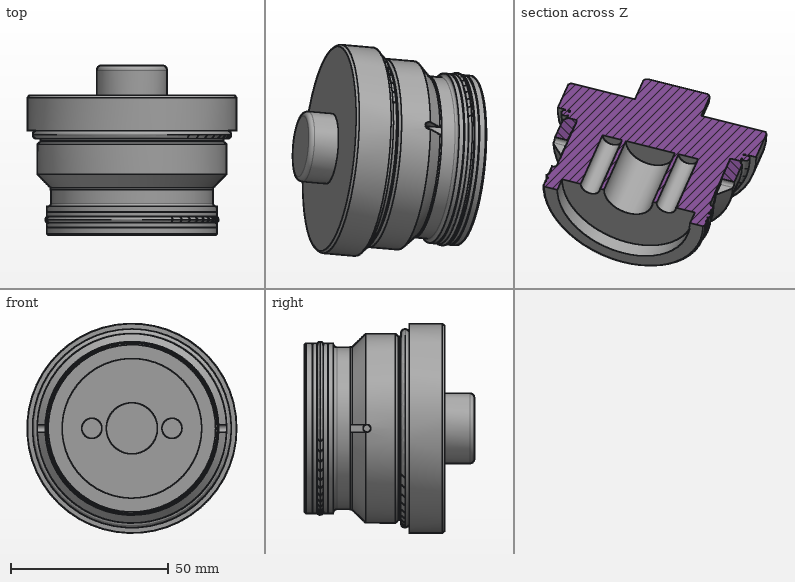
import cadquery as cq
import math


total_length = 54.0
flange_front_y = 33.2
flange_back_y = 44.5
shoulder_y = 30.0
nose_length = 9.2

flange_radius = 33.3
hub_radius = 11.2
shoulder_radius = 29.1
neck_radius = 25.75
nose_radius = 27.1

nose_chamfer = 0.5
neck_fillet = 1.05
flange_chamfer_radial = 0.65
flange_chamfer_axial = 0.85
hub_fillet = 1.5

flange_bead_section = 1.3
flange_bead_outer_radius = 31.55
flange_bead_y = 31.95
nose_bead_section = 0.9
nose_bead_outer_radius = 27.55
nose_bead_y = 5.0

bead_groove_width = 2.05
bead_groove_depth = 0.6
thin_groove_width = 0.2
thin_groove_depth = 0.25
thin_groove_positions = (2.5, 7.45)

recess_radius = 22.15
recess_depth = 4.7
center_hole_radius = 8.1
side_hole_radius = 3.2
side_hole_offset = 12.7
hole_end_y = 26.6

collar_radius = 30.1
collar_front_y = 14.5
collar_lip_radius = 25.9
collar_lip_length = 0.6
collar_cone_length = 4.3
collar_back_land_radius = 29.2
collar_back_land_length = 0.25

slot_width = 2.4
slot_floor_offset = 25.8
radial_hole_y = 19.8


def revolve_about_y(profile):
    """Turn a closed XY profile a full turn about the Y axis."""
    return profile.revolve(360, (0, 0, 0), (0, 1, 0))


def disc(radius, start_y, end_y):
    """Solid cylinder on the Y axis between two stations."""
    return cq.Workplane("XZ", origin=(0, start_y, 0)).circle(radius).extrude(start_y - end_y)


def bead(outer_radius, section_radius, y):
    """Ring of round section that reaches the given outer radius."""
    ring_radius = outer_radius - section_radius
    center = cq.Vector(0, y, 0)
    axis = cq.Vector(0, 1, 0)
    return cq.Workplane(cq.Solid.makeTorus(ring_radius, section_radius, center, axis))


def nose_groove(center_y, width, depth):
    """Ring that cuts a square groove into the nose."""
    start_y = center_y - width / 2
    end_y = center_y + width / 2
    outside = disc(nose_radius + depth, start_y, end_y)
    return outside.cut(disc(nose_radius - depth, start_y, end_y))


def core_blank():
    """Nose, neck, shoulder, flange and hub as one turned shape."""
    fillet_center_radius = neck_radius + neck_fillet
    fillet_center_y = nose_length + neck_fillet
    neck_fillet_middle = (
        fillet_center_radius - neck_fillet * math.sqrt(0.5),
        fillet_center_y - neck_fillet * math.sqrt(0.5),
    )
    hub_fillet_middle = (
        hub_radius - hub_fillet + hub_fillet * math.sqrt(0.5),
        total_length - hub_fillet + hub_fillet * math.sqrt(0.5),
    )
    profile = (
        cq.Workplane("XY")
        .moveTo(0, 0)
        .lineTo(nose_radius - nose_chamfer, 0)
        .lineTo(nose_radius, nose_chamfer)
        .lineTo(nose_radius, nose_length)
        .lineTo(fillet_center_radius, nose_length)
        .threePointArc(neck_fillet_middle, (neck_radius, fillet_center_y))
        .lineTo(neck_radius, shoulder_y)
        .lineTo(shoulder_radius, shoulder_y)
        .lineTo(shoulder_radius, flange_front_y)
        .lineTo(flange_radius, flange_front_y)
        .lineTo(flange_radius, flange_back_y - flange_chamfer_axial)
        .lineTo(flange_radius - flange_chamfer_radial, flange_back_y)
        .lineTo(hub_radius, flange_back_y)
        .lineTo(hub_radius, total_length - hub_fillet)
        .threePointArc(hub_fillet_middle, (hub_radius - hub_fillet, total_length))
        .lineTo(0, total_length)
        .close()
    )
    return revolve_about_y(profile)


def make_core():
    """Turned core with its grooves, beads, front recess and blind holes."""
    core = core_blank()
    core = core.cut(nose_groove(nose_bead_y, bead_groove_width, bead_groove_depth))
    for groove_y in thin_groove_positions:
        core = core.cut(nose_groove(groove_y, thin_groove_width, thin_groove_depth))

    core = core.union(bead(nose_bead_outer_radius, nose_bead_section, nose_bead_y))
    core = core.union(bead(flange_bead_outer_radius, flange_bead_section, flange_bead_y))

    core = core.cut(disc(recess_radius, 0, recess_depth))
    core = core.cut(disc(center_hole_radius, 0, hole_end_y))
    side_hole = disc(side_hole_radius, 0, hole_end_y)
    for side in (-1, 1):
        core = core.cut(side_hole.translate((side * side_hole_offset, 0, 0)))
    return core


def collar_blank():
    """Ring with a cone in front and a 45 degree chamfer behind."""
    cone_start_y = collar_front_y + collar_lip_length
    cone_end_y = cone_start_y + collar_cone_length
    chamfer_end_y = shoulder_y - collar_back_land_length
    chamfer_start_y = chamfer_end_y - (collar_radius - collar_back_land_radius)
    profile = (
        cq.Workplane("XY")
        .moveTo(neck_radius, collar_front_y)
        .lineTo(collar_lip_radius, collar_front_y)
        .lineTo(collar_lip_radius, cone_start_y)
        .lineTo(collar_radius, cone_end_y)
        .lineTo(collar_radius, chamfer_start_y)
        .lineTo(collar_back_land_radius, chamfer_end_y)
        .lineTo(collar_back_land_radius, shoulder_y)
        .lineTo(neck_radius, shoulder_y)
        .close()
    )
    return revolve_about_y(profile)


def make_collar():
    """Collar with a radial through hole and an open slot on each X side."""
    radial_hole = (
        cq.Workplane("YZ")
        .center(radial_hole_y, 0)
        .circle(slot_width / 2)
        .extrude(collar_radius)
    )
    slot = cq.Workplane("XY").box(
        collar_radius - slot_floor_offset,
        radial_hole_y - collar_front_y,
        slot_width,
        centered=(False, False, True),
    ).translate((slot_floor_offset, collar_front_y, 0))

    collar = collar_blank()
    for angle in (0, 180):
        for cutter in (radial_hole, slot):
            collar = collar.cut(cutter.rotate((0, 0, 0), (0, 1, 0), angle))
    return collar


core = make_core()
collar = make_collar()
result = cq.Compound.makeCompound([core.solids().val(), collar.solids().val()])